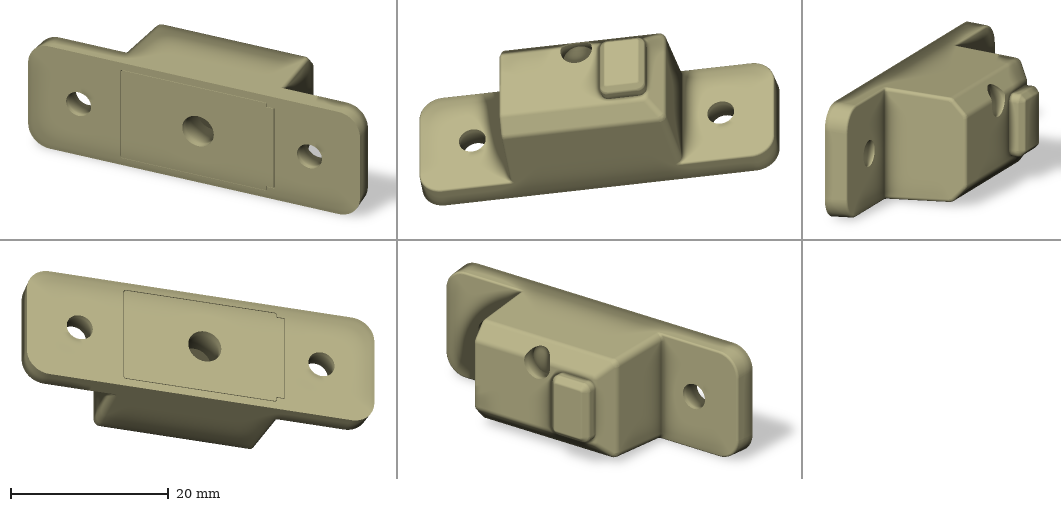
import cadquery as cq

FLANGE_LENGTH = 46.0
HEIGHT = 15.0
FLANGE_THICKNESS = 3.0
FLANGE_CORNER_RADIUS = 3.0
FLANGE_EDGE_RADIUS = 0.28
DRAFT_ANGLE = 3.0

BLOCK_LENGTH = 22.45
BLOCK_DEPTH = 14.0
BLOCK_BEVEL = 2.02
SOFT_RADIUS = 0.9
CRISP_RADIUS = 0.45

MOUNT_HOLE_DIAMETER = 3.45
MOUNT_HOLE_SPACING = 32.0

BORE_X = 0.55

NOTCH_RADIUS = 2.02
NOTCH_Z = 4.15
NOTCH_DEPTH = 2.02

COVER_MIN_X = -10.1
COVER_MAX_X = 10.05
COVER_HEIGHT = 12.8
COVER_DEPTH = 4.6
COVER_CORNER_RADIUS = 0.25
TAB_MAX_X = 11.05
TAB_HEIGHT = 11.6
TAB_DEPTH = 1.85
COVER_GAP = 0.1
BORE_DIAMETER = 4.35

BUTTON_X = -5.6
BUTTON_LENGTH = 5.8
BUTTON_HEIGHT = 8.3
BUTTON_TIP_Y = 15.9
BUTTON_SEAT_DEPTH = 1.0
BUTTON_CORNER_RADIUS = 1.0
BUTTON_BEVEL = 0.75
BUTTON_SHOULDER_RADIUS = 0.45
BUTTON_TIP_RADIUS = 0.35


def plane_at(y):
    """Sketch plane at depth y that extrudes toward +Y; its local y axis is -Z."""
    return cq.Workplane(cq.Plane(origin=(0, y, 0), xDir=(1, 0, 0), normal=(0, 1, 0)))


def box_on(y, min_x, max_x, height, depth):
    """Straight-sided box from depth y toward +Y, centred on Z."""
    center_x = (min_x + max_x) / 2
    return plane_at(y).center(center_x, 0).rect(max_x - min_x, height).extrude(depth)


def edges_centred_in(body, x_range, y_range):
    """Edges of the body whose centres lie in the given X and Y ranges, at any Z."""
    low = (x_range[0], y_range[0], -HEIGHT)
    high = (x_range[1], y_range[1], HEIGHT)
    return body.edges(cq.selectors.BoxSelector(low, high))


def make_flange():
    plate = plane_at(0).rect(FLANGE_LENGTH, HEIGHT).extrude(FLANGE_THICKNESS, taper=DRAFT_ANGLE)
    return plate.edges("not(#Y)").fillet(FLANGE_CORNER_RADIUS)


def make_block():
    """Drafted block, bevelled toward -X, +Z and -Z, with crisper edges at its +X end."""
    block = plane_at(0).rect(BLOCK_LENGTH, HEIGHT).extrude(BLOCK_DEPTH, taper=DRAFT_ANGLE)
    block = block.faces(">Y").edges("<X or >Z or <Z").chamfer(BLOCK_BEVEL)

    crisp_end_x = BLOCK_LENGTH / 2 - BLOCK_BEVEL
    off_front_face = (CRISP_RADIUS, BLOCK_DEPTH + CRISP_RADIUS)
    soft_edges = edges_centred_in(block, (-BLOCK_LENGTH, crisp_end_x), off_front_face)
    block = soft_edges.fillet(SOFT_RADIUS)
    crisp_edges = edges_centred_in(block, (crisp_end_x, BLOCK_LENGTH), off_front_face)
    return crisp_edges.fillet(CRISP_RADIUS)


def make_cover_form(gap):
    """Cover without its bore, grown sideways by the gap; the pocket is its grown form."""
    plug = box_on(0, COVER_MIN_X - gap, COVER_MAX_X + gap, COVER_HEIGHT + 2 * gap, COVER_DEPTH)
    plug = plug.edges("|Y").fillet(COVER_CORNER_RADIUS + gap)
    tab = box_on(0, BORE_X, TAB_MAX_X + gap, TAB_HEIGHT + 2 * gap, TAB_DEPTH)
    return plug.union(tab)


def make_cover():
    bore = plane_at(0).center(BORE_X, 0).circle(BORE_DIAMETER / 2).extrude(COVER_DEPTH)
    return make_cover_form(0).cut(bore)


def make_button():
    seat_y = BLOCK_DEPTH - BUTTON_SEAT_DEPTH
    half_length = BUTTON_LENGTH / 2
    min_x = BUTTON_X - half_length
    max_x = BUTTON_X + half_length
    button = box_on(seat_y, min_x, max_x, BUTTON_HEIGHT, BUTTON_TIP_Y - seat_y)
    button = button.edges("|Y").fillet(BUTTON_CORNER_RADIUS)
    button = button.faces(">Y").chamfer(BUTTON_BEVEL)

    shoulder_y = BUTTON_TIP_Y - BUTTON_BEVEL
    near_shoulder = (shoulder_y - BUTTON_TIP_RADIUS, shoulder_y + BUTTON_TIP_RADIUS)
    button = edges_centred_in(button, (min_x, max_x), near_shoulder).fillet(BUTTON_SHOULDER_RADIUS)
    return button.faces(">Y").edges().fillet(BUTTON_TIP_RADIUS)


def make_housing(button):
    housing = make_flange().union(make_block())

    at_flange_rear = (FLANGE_THICKNESS - FLANGE_EDGE_RADIUS, FLANGE_THICKNESS + FLANGE_EDGE_RADIUS)
    rear_edges = edges_centred_in(housing, (-FLANGE_LENGTH, FLANGE_LENGTH), at_flange_rear)
    housing = rear_edges.fillet(FLANGE_EDGE_RADIUS)

    half_spacing = MOUNT_HOLE_SPACING / 2
    mount_holes = (
        plane_at(0)
        .pushPoints([(-half_spacing, 0), (half_spacing, 0)])
        .circle(MOUNT_HOLE_DIAMETER / 2)
        .extrude(FLANGE_THICKNESS)
    )
    notch = plane_at(BLOCK_DEPTH).center(BORE_X, -NOTCH_Z).circle(NOTCH_RADIUS).extrude(-NOTCH_DEPTH)
    return housing.cut(mount_holes).cut(notch).cut(make_cover_form(COVER_GAP)).cut(button)


cover = make_cover()
button = make_button()
housing = make_housing(button)

result = cq.Compound.makeCompound([housing.val(), cover.val(), button.val()])